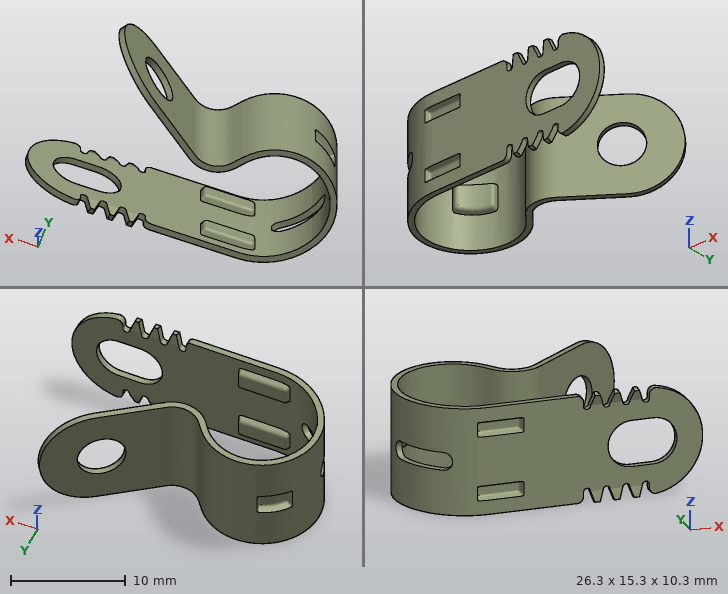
import cadquery as cq
import math

thickness = 0.6
width = 10.0
half_width = width / 2
length = 26.27
clear = 1.31

loop_height = 11.65
crown_radius = 5.45
flat_start = 6.67
crown_center = (crown_radius, loop_height - crown_radius)
center_shift = flat_start - crown_center[0]
center_rise = crown_center[1] - crown_radius
lower_radius = (center_shift**2 + crown_center[1] ** 2 - crown_radius**2) / (2 * center_rise)
lower_center = (flat_start, lower_radius)
joint_angle = math.degrees(
    math.atan2(crown_center[1] - lower_center[1], crown_center[0] - lower_center[0])
) % 360

bend_center = (12.2, 10.3)
bend_radius = 2.4
arm_angle = 36.5
arm_length = 11.27

hole_diameter = 4.3
hole_inset = 0.53
tab_slot_length = 6.3

teeth_count = 3
first_tooth = 16.55
last_tooth = 20.15
tooth_pitch = (last_tooth - first_tooth) / (teeth_count - 1)
tooth_root = 4.02
tooth_span = 10.27
tooth_tip = tooth_span / 2
tooth_tilt = 15.0
tooth_base = 1.15
tooth_end = 0.37
tooth_tip_fillet = 0.13
notch_fillet = 0.58
gullet_width = tooth_pitch - tooth_base
notch_start = first_tooth - tooth_base / 2 - gullet_width
notch_length = teeth_count * tooth_pitch + gullet_width

strap_slot_width = 1.65
strap_low_angle = 235.9
strap_high_angle = 194.2

rib_rise = 0.63
rib_fillet = 0.32
rib_corner = 0.35
pocket_fillet = 0.2
pocket_corner = 0.18
rib_draft = 18.0
tab_rib_x = 7.72
tab_rib_spacing = 5.96
tab_rib_size = (5.05, 2.08)
tab_pocket_size = (4.25, 1.37)
crown_rib_angle = 127.2
crown_rib_size = (3.95, 2.68)
crown_pocket_size = (3.15, 1.97)
crown_rib_draft = 30.0


def polar(center, radius, angle):
    a = math.radians(angle)
    return (center[0] + radius * math.cos(a), center[1] + radius * math.sin(a))


def line(p, q):
    return cq.Edge.makeLine(cq.Vector(*p), cq.Vector(*q))


def arc(center, radius, start, end):
    points = [polar(center, radius, a) for a in (start, (start + end) / 2, end)]
    return cq.Edge.makeThreePointArc(*[cq.Vector(*p) for p in points])


link_dx = bend_center[0] - crown_center[0]
link_dy = bend_center[1] - crown_center[1]
leave_angle = math.degrees(
    math.atan2(link_dy, link_dx) + math.acos((crown_radius + bend_radius) / math.hypot(link_dx, link_dy))
)
arm_tangent_angle = 270 + arm_angle


def arm_tip(depth):
    return polar(polar(bend_center, bend_radius + depth, arm_tangent_angle), arm_length, arm_angle)


def sheet_face(depth):
    """Edges of the strip at a given depth below its outer face."""
    crown = crown_radius - depth
    lower = lower_radius - depth
    bend = bend_radius + depth
    return [
        line((length, depth), (flat_start, depth)),
        arc(lower_center, lower, 270, joint_angle),
        arc(crown_center, crown, joint_angle, leave_angle),
        line(polar(crown_center, crown, leave_angle), polar(bend_center, bend, leave_angle + 180)),
        arc(bend_center, bend, leave_angle + 180, arm_tangent_angle),
        line(polar(bend_center, bend, arm_tangent_angle), arm_tip(depth)),
    ]


def make_strip():
    caps = [line((length, 0), (length, thickness)), line(arm_tip(0), arm_tip(thickness))]
    outline = cq.Wire.assembleEdges(sheet_face(0) + sheet_face(thickness) + caps)
    strip = cq.Solid.extrudeLinear(outline, [], cq.Vector(0, 0, width))
    return cq.Workplane(strip.translate(cq.Vector(0, 0, -half_width)))


def end_plane(tip, angle):
    """Plane in the sheet at the middle of a strip end, x running out of the end."""
    a = math.radians(angle)
    return cq.Plane((*tip, 0), xDir=(math.cos(a), math.sin(a), 0), normal=(-math.sin(a), math.cos(a), 0))


tab_plane = end_plane((length, 0), 0)
arm_plane = end_plane(arm_tip(0), arm_angle)


def end_trim(plane):
    """Corners to remove so that a strip end becomes a half circle."""
    corners = cq.Workplane(plane).center((clear - half_width) / 2, 0).rect(half_width + clear, width + clear)
    corners = corners.extrude(clear, both=True)
    round_end = cq.Workplane(plane).center(-half_width, 0).circle(half_width).extrude(clear, both=True)
    return corners.cut(round_end)


def end_openings():
    hole_x = -half_width - hole_inset
    hole = cq.Workplane(arm_plane).center(hole_x, 0).circle(hole_diameter / 2).extrude(clear, both=True)
    slot = cq.Workplane(tab_plane).center(hole_x, 0).slot2D(tab_slot_length, hole_diameter)
    slot = slot.extrude(clear, both=True)
    return hole.union(slot)


def cut_notch(body):
    """Open notch in the +Z tab edge, with its two mouth corners rounded."""
    height = clear + half_width - tooth_root
    notch = cq.Workplane("XY").box(notch_length, 2 * clear, height, centered=(False, True, False))
    body = body.cut(notch.translate((notch_start, 0, tooth_root)))
    mouth = cq.selectors.BoxSelector(
        (notch_start - thickness, -thickness, half_width - thickness),
        (notch_start + notch_length + thickness, 2 * thickness, half_width + thickness),
    )
    return body.edges("|Y").edges(mouth).fillet(notch_fillet)


def gullets():
    """Round-bottomed recesses beside and between the teeth, centered on their bend line."""
    first_gullet = notch_start + gullet_width / 2
    spots = [(first_gullet + i * tooth_pitch, tooth_root) for i in range(teeth_count + 1)]
    return cq.Workplane("XZ").pushPoints(spots).circle(gullet_width / 2).extrude(clear, both=True)


def make_teeth():
    """Tapered teeth on the +Z edge, tilted outward about their bend line."""
    tilt = math.radians(tooth_tilt)
    tooth_length = (tooth_tip - tooth_root - thickness * math.sin(tilt)) / math.cos(tilt)
    tip_y = -tooth_length * math.sin(tilt)
    tip_z = tooth_root + tooth_length * math.cos(tilt)
    side = [
        (0, tooth_root),
        (tip_y, tip_z),
        (tip_y + thickness * math.cos(tilt), tooth_tip),
        (thickness, tooth_root + thickness * math.tan(tilt / 2)),
        (thickness, tooth_root),
    ]
    front = [
        (-tooth_base / 2, tooth_root),
        (tooth_base / 2, tooth_root),
        (tooth_end / 2, tooth_tip),
        (-tooth_end / 2, tooth_tip),
    ]
    bent_bar = cq.Workplane("YZ").polyline(side).close().extrude(tooth_base, both=True)
    taper = cq.Workplane("XZ").polyline(front).close().extrude(clear, both=True)
    taper = taper.edges("|Y and >Z").fillet(tooth_tip_fillet)
    tooth = bent_bar.intersect(taper)
    teeth = cq.Workplane("XY")
    for i in range(teeth_count):
        teeth = teeth.union(tooth.translate((first_tooth + i * tooth_pitch, 0, 0)))
    return teeth


def strap_slot():
    """Round-ended slot wrapped along the loop, its ends square to the sheet."""
    caps = [(lower_center, lower_radius, strap_low_angle), (crown_center, crown_radius, strap_high_angle)]
    slot = cq.Workplane("XY")
    for center, radius, angle in caps:
        inner = polar(center, radius - clear, angle)
        a = math.radians(angle)
        plane = cq.Plane((*inner, 0), xDir=(0, 0, 1), normal=(math.cos(a), math.sin(a), 0))
        slot = slot.union(cq.Workplane(plane).circle(strap_slot_width / 2).extrude(2 * clear))
    low_outer, high_outer = [polar(c, r + clear, a) for c, r, a in caps]
    wedge = [
        polar(lower_center, lower_radius - clear, strap_low_angle),
        low_outer,
        (high_outer[0], low_outer[1]),
        high_outer,
        polar(crown_center, crown_radius - clear, strap_high_angle),
    ]
    band = cq.Workplane("XY").polyline(wedge).close().extrude(strap_slot_width / 2, both=True)
    return slot.union(band)


def frustum(plane, size, start, end, end_draft, side_draft, corner):
    """Drafted block along the plane normal; size is its length and width at height 0."""
    drafts = [math.tan(math.radians(d)) for d in (end_draft, side_draft)]
    bottom, top = [[s - 2 * h * d for s, d in zip(size, drafts)] for h in (start, end)]
    block = cq.Workplane("XY").workplane(offset=start).rect(*bottom)
    block = block.workplane(offset=end - start).rect(*top).loft(combine=True)
    block = block.edges("not(|X or |Y)").fillet(corner)
    return cq.Workplane(block.val().moved(cq.Location(plane)))


def tab_rib_parts(z):
    """Bump and pocket of a rib on the flat tab."""
    outer = cq.Plane((tab_rib_x, 0, z), xDir=(1, 0, 0), normal=(0, 1, 0))
    inner = cq.Plane((tab_rib_x, thickness, z), xDir=(1, 0, 0), normal=(0, 1, 0))
    bump = frustum(inner, tab_rib_size, -thickness / 2, rib_rise, rib_draft, rib_draft, rib_corner)
    pocket = frustum(outer, tab_pocket_size, -thickness / 2, rib_rise, rib_draft, rib_draft, pocket_corner)
    return bump.faces(">Y").edges().fillet(rib_fillet), pocket.faces(">Y").edges().fillet(pocket_fillet)


def crown_disk(radius):
    return cq.Workplane("XY").center(*crown_center).circle(radius).extrude(half_width, both=True)


def crown_rib_parts():
    """Bump and pocket of the rib pressed into the curved crown, with curved floors."""
    inner_radius = crown_radius - thickness
    bump_floor = inner_radius - rib_rise
    pocket_floor = crown_radius - rib_rise

    def block(size, rim_radius, floor_radius, floor_fillet, corner):
        rim = math.sqrt(rim_radius**2 - (size[0] / 2) ** 2)
        a = math.radians(crown_rib_angle)
        plane = cq.Plane(
            (*polar(crown_center, rim, crown_rib_angle), 0),
            xDir=(-math.sin(a), math.cos(a), 0),
            normal=(-math.cos(a), -math.sin(a), 0),
        )
        outer_end = rim - crown_radius - thickness / 2
        inner_end = rim - floor_radius + clear / 2
        drafted = frustum(plane, size, outer_end, inner_end, crown_rib_draft, rib_draft, corner)
        floor_point = (*polar(crown_center, floor_radius, crown_rib_angle), 0)
        floored = drafted.cut(crown_disk(floor_radius))
        return floored.faces(cq.selectors.NearestToPointSelector(floor_point)).edges().fillet(floor_fillet)

    bump = block(crown_rib_size, inner_radius, bump_floor, rib_fillet, rib_corner)
    pocket = block(crown_pocket_size, crown_radius, pocket_floor, pocket_fillet, pocket_corner)
    return bump.intersect(crown_disk(crown_radius - thickness / 2)), pocket


def mirrored(body):
    return body.union(body.mirror("XY"))


body = make_strip()
body = body.cut(end_trim(tab_plane)).cut(end_trim(arm_plane)).cut(end_openings())
body = cut_notch(cut_notch(body).mirror("XY"))
body = body.cut(mirrored(gullets())).union(mirrored(make_teeth()))

body = body.cut(strap_slot())
ribs = [tab_rib_parts(tab_rib_spacing / 2), tab_rib_parts(-tab_rib_spacing / 2), crown_rib_parts()]
for bump, pocket in ribs:
    body = body.union(bump).cut(pocket)

result = body